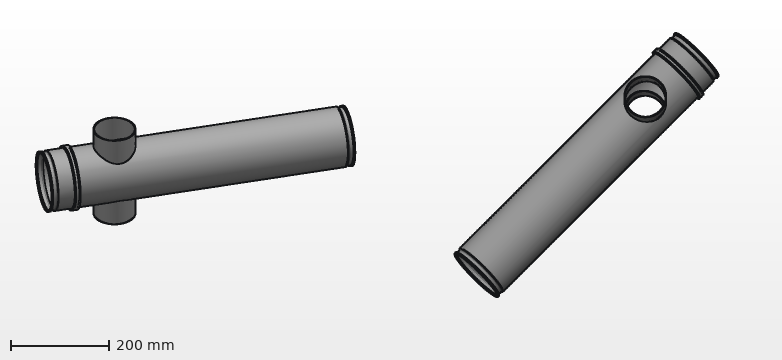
import cadquery as cq
import math

pipe_length = 640.0
pipe_radius = 62.5
wall = 2.0
bore_radius = pipe_radius - wall

lip_length = 4.0
groove_floor_end = 11.7
groove_depth = 2.3

bead_radius = 67.0
bead_start = 48.7
bead_width = 12.0
bead_side_wall = 3.0
bead_height = bead_radius - pipe_radius

branch_position = 149.5
branch_height = 205.0
branch_radius = 43.0
branch_bore_radius = branch_radius - wall


def revolved_pipe(radius, groove_growth, bead_side_inset):
    """Solid rod about Y with a groove at both ends and the bead.

    groove_growth widens each groove on both sides; bead_side_inset narrows the bead on both sides.
    """
    floor_radius = radius - groove_depth
    lip_end = lip_length - groove_growth
    floor_end = groove_floor_end + groove_growth
    groove_end = floor_end + groove_depth

    arc_middle_radius = radius - groove_depth * math.cos(math.radians(45))
    arc_middle = floor_end + groove_depth * math.sin(math.radians(45))

    bead_top = radius + bead_height
    bead_near = bead_start + bead_side_inset
    bead_far = bead_start + bead_width - bead_side_inset

    return (
        cq.Workplane("XY")
        .moveTo(0, 0)
        .lineTo(radius, 0)
        .lineTo(radius, lip_end)
        .lineTo(floor_radius, lip_end)
        .lineTo(floor_radius, floor_end)
        .threePointArc((arc_middle_radius, arc_middle), (radius, groove_end))
        .lineTo(radius, bead_near)
        .lineTo(bead_top, bead_near)
        .lineTo(bead_top, bead_far)
        .lineTo(radius, bead_far)
        .lineTo(radius, pipe_length - groove_end)
        .threePointArc((arc_middle_radius, pipe_length - arc_middle), (floor_radius, pipe_length - floor_end))
        .lineTo(floor_radius, pipe_length - lip_end)
        .lineTo(radius, pipe_length - lip_end)
        .lineTo(radius, pipe_length)
        .lineTo(0, pipe_length)
        .close()
        .revolve(360, (0, 0, 0), (0, 1, 0))
    )


def vertical_rod(radius):
    """Vertical cylinder on the branch axis, centred on the pipe axis."""
    return (
        cq.Workplane("XY")
        .center(0, branch_position)
        .circle(radius)
        .extrude(branch_height / 2, both=True)
    )


outer_body = revolved_pipe(pipe_radius, 0, 0).union(vertical_rod(branch_radius))
pipe_bore = revolved_pipe(bore_radius, wall, bead_side_wall)
branch_bore = vertical_rod(branch_bore_radius)
result = outer_body.cut(pipe_bore).cut(branch_bore)